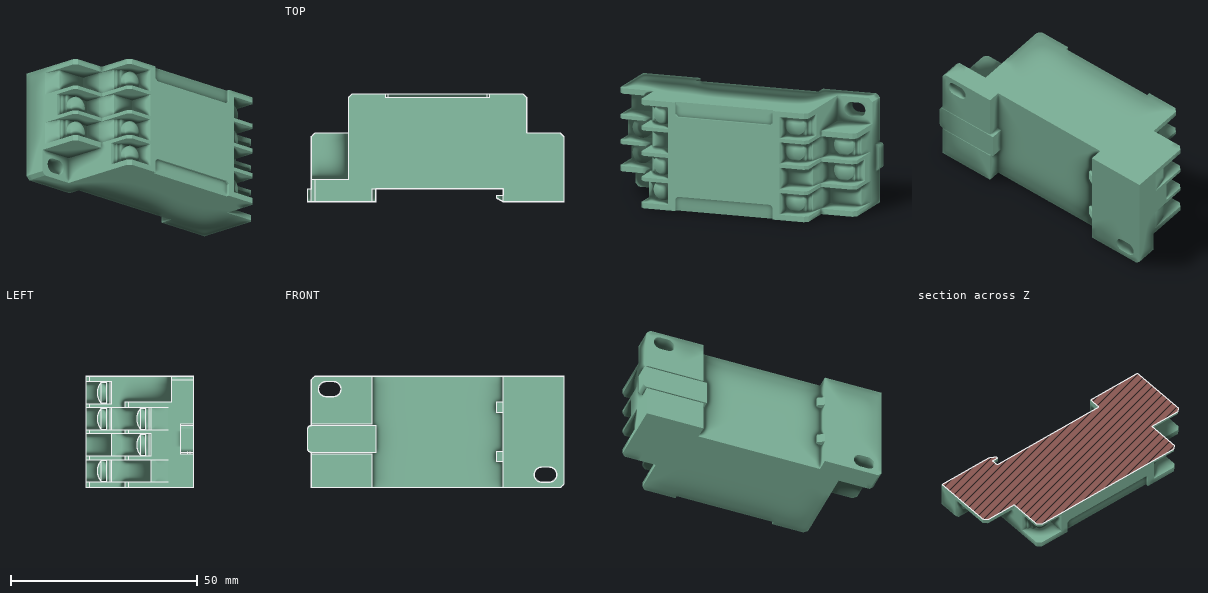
import cadquery as cq


LENGTH = 68.0
HEIGHT = 29.0
WIDTH = 30.0
STEP_LENGTH = 10.0
STEP_HEIGHT = 18.5
CHAMFER = 1.0

RAIL_WIDTH = 35.2
RAIL_START = (LENGTH - RAIL_WIDTH) / 2
RAIL_END = RAIL_START + RAIL_WIDTH
RAIL_DEPTH = 3.5

CLIP_OVERHANG = 1.0
CLIP_END = RAIL_START + CLIP_OVERHANG
CLIP_WIDTH = 7.2
CLIP_CENTER_Z = 13.1
CLIP_GAP = 0.4
CLIP_ROUND = 1.0

HOOK_REACH = 1.8
HOOK_HEIGHT = 1.7
HOOK_TIP_HEIGHT = 1.0
HOOK_WIDTH = 2.75
HOOK_MARGIN = 7.0
HOOK_BOTTOM_ZS = (HOOK_MARGIN, WIDTH - HOOK_MARGIN - HOOK_WIDTH)

EAR_WIDTH = 7.0
EAR_THICKNESS = 6.0
SLOT_LENGTH = 6.0
SLOT_DIAMETER = 4.0
SLOT_X = 5.0
SLOT_Z = WIDTH - EAR_WIDTH / 2

OUTER_WALL = 1.5
INNER_WALL = 1.0
ROW_COUNT = 4
BAY_WIDTH = (WIDTH - 2 * OUTER_WALL - (ROW_COUNT - 1) * INNER_WALL) / ROW_COUNT
LOWER_BAY_DEPTH = STEP_LENGTH
UPPER_BAY_DEPTH = 8.0
SLOPE_DROP = 4.6
SLOPE_RUN = 1.0
LOWER_FLOOR = 11.5
UPPER_FLOOR = 22.1

PLATE_THICKNESS = 0.45
WASHER_THICKNESS = 0.95
SCREW_DIAMETER = 5.6
SCREW_RIM = 1.35
SCREW_DOME = 1.05
SCREW_SETBACK = 5.1
PLATE_SETBACK = 1.5
WASHER_SETBACK = 2.4

NOTCH_LENGTH = 28.0
NOTCH_DEPTH = 0.9
NOTCH_DROP = 4.0
NOTCH_CORNER = 0.7

LOWER_TIER = (0, LOWER_BAY_DEPTH, LOWER_FLOOR, STEP_HEIGHT)
UPPER_TIER = (STEP_LENGTH, STEP_LENGTH + UPPER_BAY_DEPTH, UPPER_FLOOR, HEIGHT)

BAYS = (
    (LOWER_TIER, 0, True, False),
    (LOWER_TIER, 1, False, True),
    (LOWER_TIER, 2, True, True),
    (UPPER_TIER, 0, True, True),
    (UPPER_TIER, 1, True, False),
    (UPPER_TIER, 2, True, True),
    (UPPER_TIER, 3, False, True),
)


def box(x_range, y_range, z_range):
    """Box spanning the given (low, high) ranges."""
    sizes = [high - low for low, high in (x_range, y_range, z_range)]
    corner = (x_range[0], y_range[0], z_range[0])
    return cq.Workplane("XY").box(*sizes, centered=False).translate(corner)


def prism(points, z_low, z_high):
    """XY outline extruded along Z."""
    return cq.Workplane("XY", origin=(0, 0, z_low)).polyline(points).close().extrude(z_high - z_low)


def half_turn(shape):
    """The same shape at the opposite end of the housing."""
    middle_x = LENGTH / 2
    middle_z = WIDTH / 2
    return shape.rotate((middle_x, 0, middle_z), (middle_x, 1, middle_z), 180)


def row_bottom(row):
    """Z of the lower side of a terminal row."""
    return OUTER_WALL + row * (BAY_WIDTH + INNER_WALL)


def make_housing():
    far_step = LENGTH - STEP_LENGTH
    outline = [
        (0, 0),
        (RAIL_START, 0),
        (RAIL_START, RAIL_DEPTH),
        (RAIL_END, RAIL_DEPTH),
        (RAIL_END, 0),
        (LENGTH, 0),
        (LENGTH, STEP_HEIGHT - CHAMFER),
        (LENGTH - CHAMFER, STEP_HEIGHT),
        (far_step, STEP_HEIGHT),
        (far_step, HEIGHT - CHAMFER),
        (far_step - CHAMFER, HEIGHT),
        (STEP_LENGTH + CHAMFER, HEIGHT),
        (STEP_LENGTH, HEIGHT - CHAMFER),
        (STEP_LENGTH, STEP_HEIGHT),
        (CHAMFER, STEP_HEIGHT),
        (0, STEP_HEIGHT - CHAMFER),
    ]
    return prism(outline, 0, WIDTH)


def make_ear_cut():
    """Open corner above the ear, its chamfered corner and its mounting slot."""
    opening = box((0, STEP_LENGTH), (EAR_THICKNESS, STEP_HEIGHT), (WIDTH - EAR_WIDTH, WIDTH))
    corner = (
        cq.Workplane("XZ")
        .polyline([(0, WIDTH), (CHAMFER, WIDTH), (0, WIDTH - CHAMFER)])
        .close()
        .extrude(-EAR_THICKNESS)
    )
    slot = (
        cq.Workplane("XZ")
        .center(SLOT_X, SLOT_Z)
        .slot2D(SLOT_LENGTH, SLOT_DIAMETER)
        .extrude(-EAR_THICKNESS)
    )
    return opening.union(corner).union(slot)


def make_bay_cut(tier, row, sloped):
    """Bay open to the front and to the top of its tier, with an optional sloped lip."""
    front, back, floor, tier_top = tier
    lip = [(front, floor)]
    if sloped:
        lip = [(front, floor - SLOPE_DROP), (front + SLOPE_RUN, floor)]
    outline = lip + [(back, floor), (back, tier_top), (front, tier_top)]
    bottom = row_bottom(row)
    return prism(outline, bottom, bottom + BAY_WIDTH)


def make_terminal(tier, row):
    """Plate on the bay floor with a clamp washer and a domed screw head."""
    front, back, floor, _ = tier
    bottom = row_bottom(row)
    z_range = (bottom, bottom + BAY_WIDTH)
    screw_x = front + SCREW_SETBACK
    plate_top = floor + PLATE_THICKNESS
    washer_top = plate_top + WASHER_THICKNESS
    rim_top = washer_top + SCREW_RIM
    radius = SCREW_DIAMETER / 2
    dome_radius = (radius**2 + SCREW_DOME**2) / (2 * SCREW_DOME)
    dome_center = rim_top + SCREW_DOME - dome_radius
    mid_x = radius / 2
    mid_y = dome_center + (dome_radius**2 - mid_x**2) ** 0.5

    plate = box((front + PLATE_SETBACK, back), (floor, plate_top), z_range)
    washer = box((front + WASHER_SETBACK, back), (plate_top, washer_top), z_range)
    screw = (
        cq.Workplane("XY")
        .moveTo(0, washer_top)
        .lineTo(radius, washer_top)
        .lineTo(radius, rim_top)
        .threePointArc((mid_x, mid_y), (0, rim_top + SCREW_DOME))
        .close()
        .revolve(360, (0, 0, 0), (0, 1, 0))
        .translate((screw_x, 0, bottom + BAY_WIDTH / 2))
    )
    return plate.union(washer).union(screw)


def make_clip_groove():
    half_width = CLIP_WIDTH / 2 + CLIP_GAP
    z_range = (CLIP_CENTER_Z - half_width, CLIP_CENTER_Z + half_width)
    return box((0, RAIL_START), (0, RAIL_DEPTH), z_range)


def make_clip():
    z_range = (CLIP_CENTER_Z - CLIP_WIDTH / 2, CLIP_CENTER_Z + CLIP_WIDTH / 2)
    clip = box((-CLIP_OVERHANG, CLIP_END), (0, RAIL_DEPTH), z_range)
    return clip.edges("|Y and <X").fillet(CLIP_ROUND)


def make_hook(bottom):
    tip = RAIL_END - HOOK_REACH
    outline = [
        (RAIL_END, 0),
        (RAIL_END, HOOK_HEIGHT),
        (tip, HOOK_HEIGHT),
        (tip, HOOK_TIP_HEIGHT),
    ]
    return prism(outline, bottom, bottom + HOOK_WIDTH)


def make_notch():
    """Shallow notch with chamfered bottom corners, open to the socket face and the Z = WIDTH side."""
    start = (LENGTH - NOTCH_LENGTH) / 2
    x_range = (start, start + NOTCH_LENGTH)
    notch = box(x_range, (HEIGHT - NOTCH_DEPTH, HEIGHT), (WIDTH - NOTCH_DROP, WIDTH))
    return notch.edges("|Y and <Z").chamfer(NOTCH_CORNER)


notch_cut = make_notch()
result = make_housing().cut(notch_cut).cut(half_turn(notch_cut))
result = result.cut(make_clip_groove()).union(make_clip())

for hook_bottom in HOOK_BOTTOM_ZS:
    result = result.union(make_hook(hook_bottom))

ear_cut = make_ear_cut()
result = result.cut(ear_cut).cut(half_turn(ear_cut))

for bay_tier, row_number, has_slope, has_screw in BAYS:
    bay_cut = make_bay_cut(bay_tier, row_number, has_slope)
    result = result.cut(bay_cut).cut(half_turn(bay_cut))
    if has_screw:
        terminal = make_terminal(bay_tier, row_number)
        result = result.union(terminal).union(half_turn(terminal))